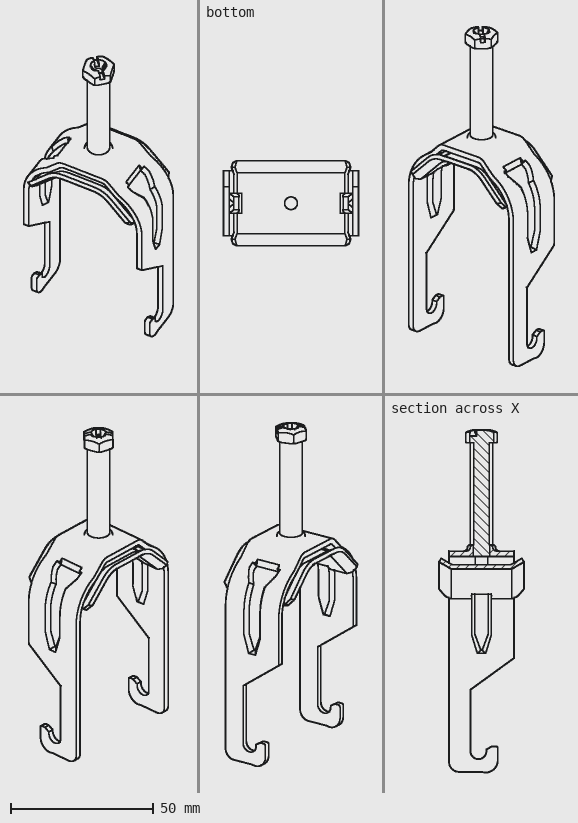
import cadquery as cq
import math

CLAMP_SPAN = 47.5
CLAMP_WIDTH = 22.9
CLAMP_SHEET = 2.0
CLAMP_TOP_Z = 78.0
FLAT_HALF = 7.7
TOP_BEND_RADIUS = 3.9
BLEND_RADIUS = 4.0
SHOULDER_RADIUS = 17.2
SHOULDER_Z = 57.5
COS_45 = math.sqrt(0.5)

LEG_BACK_Y = CLAMP_WIDTH / 2
CUT_TOP_Z = 40.3
CUT_INNER_Z = 29.2
HOOK_RADIUS = 2.8
HOOK_Y = 1.1
HOOK_Z = 7.6
FOOT_Z = 0.2
HEEL_RADIUS = 3.6
TOE_RADIUS = 4.5
TOE_Y = -1.3
BARB_SHOULDER_Z = 8.2
BARB_TOP_Y = -3.6
BARB_TOP_Z = 9.3
BARB_FILLET = 0.7

BEAD_DEPTH = 1.6
BEAD_HALF = 3.5
BEAD_FLARE_HALF = 5.9
BEAD_TIP_HALF = 1.5
BEAD_TIP_Z = 42.0
BEAD_TIP_RUN = 1.1
BEAD_TAPER_Z = 48.6
BEAD_FLARE_START_Z = 67.3
BEAD_FLARE_END_Z = 71.2
BEAD_END_X = 13.7
BEAD_WALL_RUN = 1.2
FLARE_OVERLAP = 0.5

COLLAR_DIAMETER = 10.0
COLLAR_ROOT_FILLET = 1.1

SHANK_DIAMETER = 8.0
TIP_DIAMETER = 4.5
HEAD_TOP_Z = 120.6
HEAD_HEIGHT = 4.6
HEAD_ACROSS_FLATS = 10.0
HEAD_ANGLE = -15.0
CROWN_DROP = 1.1
HEAD_CHAMFER = 0.4
DRIVE_ANGLE = -45.0
SLOT_WIDTH = 1.6
SLOT_DEPTH = 2.2
RECESS_DIAMETER = 5.5
RECESS_FLOOR_DIAMETER = 2.9
RECESS_DEPTH = 2.9

PAD_WIDTH = 30.0
PAD_SHEET = 1.6
PAD_BOTTOM_Z = 71.6
PAD_FLAT_HALF = 6.2
PAD_BEND_RADIUS = 5.5
PAD_SLOPE_LENGTH = 12.5
FLANGE_RISE = 2.3
FLANGE_ANGLE = 30.0
PAD_CORNER = 2.4
NOTCH_LENGTH = 2.4

leg_x = CLAMP_SPAN / 2
shoulder_x = leg_x - SHOULDER_RADIUS
clamp_underside_z = CLAMP_TOP_Z - CLAMP_SHEET
slope_start_x = FLAT_HALF + TOP_BEND_RADIUS * COS_45
slope_start_z = CLAMP_TOP_Z - TOP_BEND_RADIUS * (1 - COS_45)
slope_distance = (slope_start_x - shoulder_x + slope_start_z - SHOULDER_Z) * COS_45
blend_distance = SHOULDER_RADIUS + BLEND_RADIUS
shoulder_angle = math.pi / 4 - math.acos((slope_distance + BLEND_RADIUS) / blend_distance)


def shoulder_point(radius, angle):
    """Point on the +X shoulder, with the angle measured from +Z."""
    return shoulder_x + radius * math.sin(angle), SHOULDER_Z + radius * math.cos(angle)


def mirrored(point):
    return -point[0], point[1]


def blend_point(angle):
    """Point on the hollow blend, with the angle measured from -Z towards -X."""
    center_x, center_z = shoulder_point(blend_distance, shoulder_angle)
    return center_x - BLEND_RADIUS * math.sin(angle), center_z - BLEND_RADIUS * math.cos(angle)


def clamp_outline():
    """Outer contour of the sheet, closed across the open bottom."""
    below_foot = -2 * CLAMP_SHEET
    arc_mid = shoulder_point(SHOULDER_RADIUS, (shoulder_angle + math.pi / 2) / 2)
    arc_top = shoulder_point(SHOULDER_RADIUS, shoulder_angle)
    blend_mid = blend_point((shoulder_angle + math.pi / 4) / 2)
    slope_end = blend_point(math.pi / 4)
    bend_mid = (
        FLAT_HALF + TOP_BEND_RADIUS * math.sin(math.pi / 8),
        CLAMP_TOP_Z - TOP_BEND_RADIUS * (1 - math.cos(math.pi / 8)),
    )
    return (
        cq.Workplane("XZ", origin=(0, CLAMP_WIDTH / 2, 0))
        .moveTo(leg_x, below_foot)
        .lineTo(leg_x, SHOULDER_Z)
        .threePointArc(arc_mid, arc_top)
        .threePointArc(blend_mid, slope_end)
        .lineTo(slope_start_x, slope_start_z)
        .threePointArc(bend_mid, (FLAT_HALF, CLAMP_TOP_Z))
        .lineTo(-FLAT_HALF, CLAMP_TOP_Z)
        .threePointArc(mirrored(bend_mid), (-slope_start_x, slope_start_z))
        .lineTo(*mirrored(slope_end))
        .threePointArc(mirrored(blend_mid), mirrored(arc_top))
        .threePointArc(mirrored(arc_mid), (-leg_x, SHOULDER_Z))
        .lineTo(-leg_x, below_foot)
        .close()
    )


def clamp_blank():
    inside = clamp_outline().offset2D(-CLAMP_SHEET).extrude(CLAMP_WIDTH)
    return clamp_outline().extrude(CLAMP_WIDTH).cut(inside)


def side_outline():
    mouth_back_y = HOOK_Y + HOOK_RADIUS
    mouth_front_y = HOOK_Y - HOOK_RADIUS
    toe_front_y = TOE_Y - TOE_RADIUS
    toe_start_y = TOE_Y + math.sqrt(TOE_RADIUS**2 - (TOE_RADIUS - FOOT_Z) ** 2)
    toe_mid = (TOE_Y - TOE_RADIUS * COS_45, TOE_RADIUS * (1 - COS_45))
    heel_mid = (LEG_BACK_Y - HEEL_RADIUS * (1 - COS_45), FOOT_Z + HEEL_RADIUS * (1 - COS_45))
    barb_mid = (toe_front_y + BARB_FILLET * (1 - COS_45), BARB_TOP_Z - BARB_FILLET * (1 - COS_45))
    return (
        cq.Workplane("YZ")
        .moveTo(LEG_BACK_Y, CLAMP_TOP_Z)
        .lineTo(LEG_BACK_Y, FOOT_Z + HEEL_RADIUS)
        .threePointArc(heel_mid, (LEG_BACK_Y - HEEL_RADIUS, FOOT_Z))
        .lineTo(toe_start_y, FOOT_Z)
        .lineTo(TOE_Y, 0)
        .threePointArc(toe_mid, (toe_front_y, TOE_RADIUS))
        .lineTo(toe_front_y, BARB_TOP_Z - BARB_FILLET)
        .threePointArc(barb_mid, (toe_front_y + BARB_FILLET, BARB_TOP_Z))
        .lineTo(BARB_TOP_Y, BARB_TOP_Z)
        .lineTo(mouth_front_y, BARB_SHOULDER_Z)
        .lineTo(mouth_front_y, HOOK_Z)
        .threePointArc((HOOK_Y, HOOK_Z - HOOK_RADIUS), (mouth_back_y, HOOK_Z))
        .lineTo(mouth_back_y, CUT_INNER_Z)
        .lineTo(-CLAMP_WIDTH / 2, CUT_TOP_Z)
        .lineTo(-CLAMP_WIDTH / 2, CLAMP_TOP_Z)
        .close()
        .extrude(CLAMP_SPAN / 2, both=True)
    )


def bead_band(depth):
    """Layer of the +X leg and shoulder, BEAD_DEPTH thick, that starts this deep below the outer face."""
    outer = SHOULDER_RADIUS - depth
    inner = outer - BEAD_DEPTH
    mid_angle = (shoulder_angle + math.pi / 2) / 2
    return (
        cq.Workplane("XZ", origin=(0, CLAMP_WIDTH / 2, 0))
        .moveTo(shoulder_x + outer, 0)
        .lineTo(shoulder_x + outer, SHOULDER_Z)
        .threePointArc(shoulder_point(outer, mid_angle), shoulder_point(outer, shoulder_angle))
        .lineTo(*shoulder_point(inner, shoulder_angle))
        .threePointArc(shoulder_point(inner, mid_angle), (shoulder_x + inner, SHOULDER_Z))
        .lineTo(shoulder_x + inner, 0)
        .close()
        .extrude(CLAMP_WIDTH)
    )


def bead_section(half_width, top, floor, wall_run=BEAD_WALL_RUN):
    """Trapezoid across the bead, from its wide edge at the point `top` to its floor at the point `floor`."""
    floor_half = half_width - wall_run
    corners = [
        cq.Vector(top[0], -half_width, top[1]),
        cq.Vector(top[0], half_width, top[1]),
        cq.Vector(floor[0], floor_half, floor[1]),
        cq.Vector(floor[0], -floor_half, floor[1]),
    ]
    return cq.Wire.makePolygon(corners, close=True)


def bead(depth):
    """The +X bead as a solid with sloping walls that starts this deep below the outer face."""
    outer = SHOULDER_RADIUS - depth
    inner = outer - BEAD_DEPTH
    outer_x = shoulder_x + outer
    inner_x = shoulder_x + inner

    shoulder_start = bead_section(BEAD_HALF, (outer_x, SHOULDER_Z), (inner_x, SHOULDER_Z))
    taper_start = bead_section(BEAD_HALF, (outer_x, BEAD_TAPER_Z), (inner_x, BEAD_TAPER_Z))
    tip = bead_section(BEAD_TIP_HALF, (outer_x, BEAD_TIP_Z), (inner_x, BEAD_TIP_Z + BEAD_TIP_RUN))
    leg_part = cq.Solid.makeLoft([tip, taper_start, shoulder_start], True)

    flare_start = math.acos((BEAD_FLARE_START_Z - SHOULDER_Z) / SHOULDER_RADIUS)
    flare_end = math.acos((BEAD_FLARE_END_Z - SHOULDER_Z) / SHOULDER_RADIUS)
    pivot = cq.Vector(shoulder_x, 0, SHOULDER_Z)
    turn = 90 - math.degrees(flare_start)
    shoulder_part = cq.Solid.revolve(shoulder_start, [], turn, pivot, pivot - cq.Vector(0, 1.2, 0))

    extra_run = BEAD_WALL_RUN * FLARE_OVERLAP / BEAD_DEPTH
    flare_sections = [
        bead_section(
            half_width + extra_run,
            shoulder_point(outer + FLARE_OVERLAP, angle),
            shoulder_point(inner, angle),
            BEAD_WALL_RUN + extra_run,
        )
        for half_width, angle in (
            (BEAD_HALF, flare_start),
            (BEAD_FLARE_HALF, flare_end),
            (BEAD_FLARE_HALF, shoulder_angle),
        )
    ]
    flare = cq.Workplane(cq.Solid.makeLoft(flare_sections, True)).intersect(bead_band(depth))
    return cq.Workplane(leg_part).union(cq.Workplane(shoulder_part)).union(flare)


def groove_end():
    """Wedge that carries the end of the +X groove through the blend to its steep end wall."""
    half_width = BEAD_FLARE_HALF - BEAD_WALL_RUN
    wall_top_z = slope_start_x + slope_start_z - BEAD_END_X
    return (
        cq.Workplane("XZ", origin=(0, half_width, 0))
        .moveTo(*shoulder_point(SHOULDER_RADIUS, shoulder_angle))
        .lineTo(*shoulder_point(SHOULDER_RADIUS - BEAD_DEPTH, shoulder_angle))
        .lineTo(BEAD_END_X, wall_top_z)
        .lineTo(*shoulder_point(blend_distance, shoulder_angle))
        .close()
        .extrude(2 * half_width)
    )


def collar():
    wall = COLLAR_DIAMETER / 2
    bore = SHANK_DIAMETER / 2
    rim_radius = wall - bore
    root = wall + COLLAR_ROOT_FILLET
    rim_z = CLAMP_TOP_Z + COLLAR_ROOT_FILLET
    root_mid = (root - COLLAR_ROOT_FILLET * COS_45, rim_z - COLLAR_ROOT_FILLET * COS_45)
    rim_mid = (bore + rim_radius * COS_45, rim_z + rim_radius * COS_45)
    return (
        cq.Workplane("XZ")
        .moveTo(bore, clamp_underside_z)
        .lineTo(root, clamp_underside_z)
        .lineTo(root, CLAMP_TOP_Z)
        .threePointArc(root_mid, (wall, rim_z))
        .threePointArc(rim_mid, (bore, rim_z + rim_radius))
        .close()
        .revolve(360, (0, 0, 0), (0, 1, 0))
    )


def make_clamp():
    clamp = clamp_blank().intersect(side_outline())
    bulge = bead(CLAMP_SHEET)
    groove = bead(0).union(groove_end())
    clamp = clamp.union(bulge).union(bulge.mirror("YZ"))
    clamp = clamp.cut(groove).cut(groove.mirror("YZ"))
    screw_hole = (
        cq.Workplane("XY", origin=(0, 0, clamp_underside_z))
        .circle(SHANK_DIAMETER / 2)
        .extrude(CLAMP_SHEET)
    )
    return clamp.cut(screw_hole).union(collar())


def make_screw():
    head_bottom_z = HEAD_TOP_Z - HEAD_HEIGHT
    corner_radius = HEAD_ACROSS_FLATS / math.sqrt(3)
    crown_edge_z = HEAD_TOP_Z - CROWN_DROP
    recess_radius = RECESS_DIAMETER / 2
    crown_mid = ((recess_radius + corner_radius) / 2, HEAD_TOP_Z - CROWN_DROP / 3)
    turned = (
        cq.Workplane("XZ")
        .moveTo(0, PAD_BOTTOM_Z)
        .lineTo(TIP_DIAMETER / 2, PAD_BOTTOM_Z)
        .lineTo(TIP_DIAMETER / 2, clamp_underside_z)
        .lineTo(SHANK_DIAMETER / 2, clamp_underside_z)
        .lineTo(SHANK_DIAMETER / 2, head_bottom_z)
        .lineTo(corner_radius - HEAD_CHAMFER, head_bottom_z)
        .lineTo(corner_radius, head_bottom_z + HEAD_CHAMFER)
        .lineTo(corner_radius, crown_edge_z)
        .threePointArc(crown_mid, (recess_radius, HEAD_TOP_Z))
        .lineTo(RECESS_FLOOR_DIAMETER / 2, HEAD_TOP_Z - RECESS_DEPTH)
        .lineTo(0, HEAD_TOP_Z - RECESS_DEPTH)
        .close()
        .revolve(360, (0, 0, 0), (0, 1, 0))
    )
    hexagon = (
        cq.Workplane("XY", origin=(0, 0, PAD_BOTTOM_Z))
        .transformed(rotate=(0, 0, HEAD_ANGLE))
        .polygon(6, 2 * corner_radius)
        .extrude(HEAD_TOP_Z - PAD_BOTTOM_Z)
    )
    drive = cq.Workplane("XY", origin=(0, 0, HEAD_TOP_Z)).transformed(rotate=(0, 0, DRIVE_ANGLE))
    slot = drive.rect(3 * corner_radius, SLOT_WIDTH).extrude(-SLOT_DEPTH)
    cross_wing = drive.rect(SLOT_WIDTH, RECESS_DIAMETER).extrude(-SLOT_DEPTH)
    return turned.intersect(hexagon).cut(slot).cut(cross_wing)


def pad_section():
    """Half of the channel section in the YZ plane, mirrored into the full one."""
    tilt = math.radians(FLANGE_ANGLE)
    tip_y = PAD_WIDTH / 2
    tip_top_y = tip_y - PAD_SHEET * math.sin(tilt)
    top_z = PAD_BOTTOM_Z + PAD_SHEET
    flange_run = FLANGE_RISE / math.tan(tilt)
    top_bend_y = tip_top_y - flange_run
    bottom_bend_y = top_bend_y + PAD_SHEET * math.tan(tilt / 2)
    tip_bottom_z = top_z + FLANGE_RISE - PAD_SHEET * math.cos(tilt)
    half = [
        (bottom_bend_y, PAD_BOTTOM_Z),
        (tip_y, tip_bottom_z),
        (tip_top_y, top_z + FLANGE_RISE),
        (top_bend_y, top_z),
    ]
    return half + [mirrored(p) for p in reversed(half)]


def pad_half():
    bend_mid_x = PAD_FLAT_HALF + PAD_BEND_RADIUS * math.sin(math.pi / 8)
    bend_mid_z = PAD_BOTTOM_Z - PAD_BEND_RADIUS * (1 - math.cos(math.pi / 8))
    bend_end_x = PAD_FLAT_HALF + PAD_BEND_RADIUS * COS_45
    bend_end_z = PAD_BOTTOM_Z - PAD_BEND_RADIUS * (1 - COS_45)
    end_x = bend_end_x + PAD_SLOPE_LENGTH * COS_45
    end_z = bend_end_z - PAD_SLOPE_LENGTH * COS_45
    path = (
        cq.Workplane("XZ")
        .moveTo(0, PAD_BOTTOM_Z)
        .lineTo(PAD_FLAT_HALF, PAD_BOTTOM_Z)
        .threePointArc((bend_mid_x, bend_mid_z), (bend_end_x, bend_end_z))
        .lineTo(end_x, end_z)
    )
    blank = cq.Workplane("YZ").polyline(pad_section()).close().sweep(path)

    slope_plane = cq.Plane(
        origin=(end_x, 0, end_z), xDir=(COS_45, 0, -COS_45), normal=(COS_45, 0, COS_45)
    )
    side_y = PAD_WIDTH / 2
    cut_depth = PAD_SHEET + FLANGE_RISE
    corner = (
        cq.Workplane(slope_plane)
        .polyline([(0, side_y - PAD_CORNER), (0, side_y), (-PAD_CORNER, side_y)])
        .close()
        .extrude(cut_depth)
    )
    notch = cq.Workplane(slope_plane).rect(2 * NOTCH_LENGTH, 2 * BEAD_HALF).extrude(cut_depth)
    return blank.cut(corner).cut(corner.mirror("XZ")).cut(notch)


def make_pad():
    pad = pad_half().union(pad_half().mirror("YZ"))
    tip_hole = cq.Workplane("XY", origin=(0, 0, PAD_BOTTOM_Z)).circle(TIP_DIAMETER / 2).extrude(PAD_SHEET)
    return pad.cut(tip_hole)


clamp = make_clamp()
screw = make_screw()
pad = make_pad()
result = cq.Compound.makeCompound([clamp.val(), screw.val(), pad.val()])